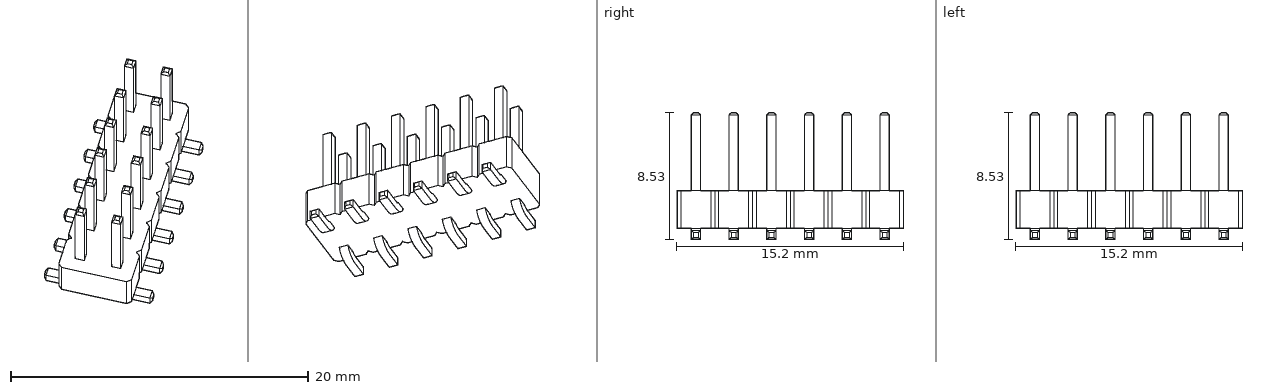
import cadquery as cq

ROWS = 6
BODY_LENGTH = 15.24
PITCH = BODY_LENGTH / ROWS
BODY_WIDTH = 2 * PITCH
BODY_HEIGHT = PITCH
STANDOFF = 0.75
NOTCH_DEPTH = 0.27
NOTCH_HALF_WIDTH = 0.26

TOTAL_HEIGHT = 8.53
FOOT_SPAN = 7.55
PIN_SIZE = 0.64
FOOT_THICKNESS = 0.61
BEND_OUTER_RADIUS = 1.3
BEND_INNER_RADIUS = BEND_OUTER_RADIUS - FOOT_THICKNESS
TIP_SIZE = 0.32
TIP_LENGTH = 0.15

PIN_X = PITCH / 2
ROW_POSITIONS = [(row - (ROWS - 1) / 2) * PITCH for row in range(ROWS)]


def make_body():
    """Row of identical eight-sided blocks whose bevels meet as V notches."""
    half_width = BODY_WIDTH / 2
    half_pitch = PITCH / 2
    inner_x = half_width - NOTCH_DEPTH
    inner_y = half_pitch - NOTCH_HALF_WIDTH
    block = (
        cq.Workplane("XY")
        .workplane(offset=STANDOFF)
        .moveTo(-inner_x, -half_pitch)
        .lineTo(inner_x, -half_pitch)
        .lineTo(half_width, -inner_y)
        .lineTo(half_width, inner_y)
        .lineTo(inner_x, half_pitch)
        .lineTo(-inner_x, half_pitch)
        .lineTo(-half_width, inner_y)
        .lineTo(-half_width, -inner_y)
        .close()
        .extrude(BODY_HEIGHT)
    )
    body = block.translate((0, ROW_POSITIONS[0], 0))
    for y in ROW_POSITIONS[1:]:
        body = body.union(block.translate((0, y, 0)))
    return body.clean()


def make_tip(base_plane, base_height):
    """Tapered square tip from the end of a wire section."""
    return (
        cq.Workplane(base_plane)
        .rect(PIN_SIZE, base_height)
        .workplane(offset=TIP_LENGTH)
        .rect(TIP_SIZE, TIP_SIZE)
        .loft(ruled=True)
    )


def make_pin():
    """Right-hand pin: upright post, quarter bend and a foot pointing to +X."""
    inner_face = PIN_X - PIN_SIZE / 2
    outer_face = PIN_X + PIN_SIZE / 2
    bend_x = inner_face + BEND_OUTER_RADIUS
    foot_bend_x = outer_face + BEND_INNER_RADIUS
    foot_end = FOOT_SPAN / 2 - TIP_LENGTH
    post_end = TOTAL_HEIGHT - TIP_LENGTH
    wire = (
        cq.Workplane("XZ")
        .moveTo(inner_face, post_end)
        .lineTo(inner_face, BEND_OUTER_RADIUS)
        .tangentArcPoint((bend_x, 0), relative=False)
        .lineTo(foot_end, 0)
        .lineTo(foot_end, FOOT_THICKNESS)
        .lineTo(foot_bend_x, FOOT_THICKNESS)
        .tangentArcPoint((outer_face, FOOT_THICKNESS + BEND_INNER_RADIUS), relative=False)
        .lineTo(outer_face, post_end)
        .close()
        .extrude(PIN_SIZE / 2, both=True)
    )
    post_plane = cq.Plane(origin=(PIN_X, 0, post_end))
    foot_plane = cq.Plane(origin=(foot_end, 0, FOOT_THICKNESS / 2), xDir=(0, 1, 0), normal=(1, 0, 0))
    post_tip = make_tip(post_plane, PIN_SIZE)
    foot_tip = make_tip(foot_plane, FOOT_THICKNESS)
    return wire.union(post_tip).union(foot_tip)


right_pin = make_pin()
left_pin = right_pin.mirror("YZ")
result = make_body()
for row_y in ROW_POSITIONS:
    for pin in (left_pin, right_pin):
        result = result.union(pin.translate((0, row_y, 0)))